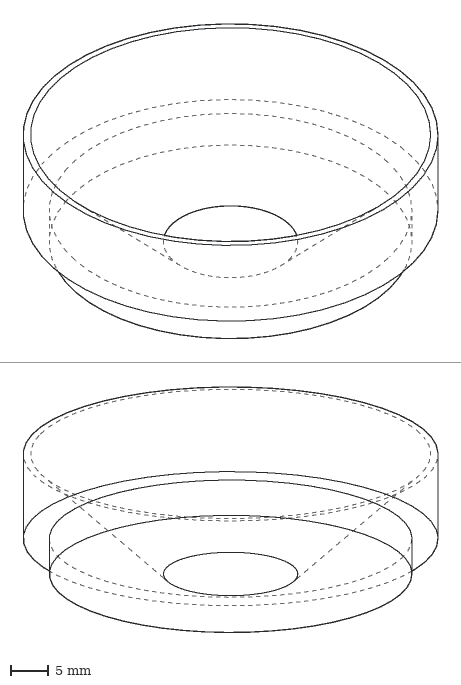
import cadquery as cq

rim_diameter = 55.6
spigot_diameter = 48.6
rim_height = 12.0
spigot_height = 5.0
lip_width = 1.0
hole_diameter = 18.0

total_height = rim_height + spigot_height
rim_radius = rim_diameter / 2
spigot_radius = spigot_diameter / 2
hole_radius = hole_diameter / 2
funnel_top_radius = rim_radius - lip_width


def funnel_ring():
    """Stepped ring with a conical bore, revolved about the Z axis."""
    section = [
        (hole_radius, 0),
        (spigot_radius, 0),
        (spigot_radius, spigot_height),
        (rim_radius, spigot_height),
        (rim_radius, total_height),
        (funnel_top_radius, total_height),
    ]
    axis_start = (0, 0)
    axis_end = (0, 1)
    return cq.Workplane("XZ").polyline(section).close().revolve(360, axis_start, axis_end)


result = funnel_ring()